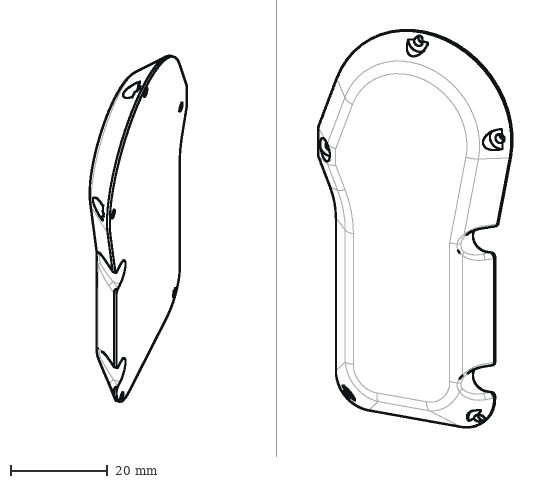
import cadquery as cq
import math

HEIGHT = 7.0
RIM_THICKNESS = 0.6
WALL_ANGLE = 41.6
TOP_INSET = (HEIGHT - RIM_THICKNESS) * math.tan(math.radians(WALL_ANGLE))
TOP_FILLET = 3.2

HEAD_RADIUS = 20.6
BOTTOM_DISTANCE = 86.3 - HEAD_RADIUS
FOOT_RADIUS = 7.5
NECK_RADIUS = 17.3

HEAD_FLANK = (20.0, HEAD_RADIUS)
EAR_SIDE = (0.0, 23.65)
EAR_FLANK = (-22.9, 26.1)
BODY_SIDE = (0.0, 19.6)
BOTTOM_SIDE = (-90.0, BOTTOM_DISTANCE)
NOTCHED_SIDE = (180.0, 16.65)
NOTCHED_FLANK = (190.7, HEAD_RADIUS)

NOTCH_RADIUS = 3.0
NOTCH_CENTER_Y = -14.6
NOTCH_CENTERS_Z = (-22.9, -53.9)
NOTCH_EDGE_FILLET = 0.95
TOLERANCE = 0.01

HOLE_RADIUS = 0.95
COUNTERBORE_RADIUS = 2.25
COUNTERBORE_FLOOR = 2.1
FOOT_HOLE_Z = -62.65
HOLE_CENTERS = [
    (0, 19.1),
    (-18.6, 0.7),
    (20.3, -7.7),
    (16.65, FOOT_HOLE_Z),
    (-13.7, FOOT_HOLE_Z),
]


def polar(radius, angle):
    """Point at the given radius and angle in degrees."""
    return (radius * math.cos(math.radians(angle)), radius * math.sin(math.radians(angle)))


def corner(side_a, side_b, inset):
    """Meeting point of two sides, both moved inward by inset."""
    ay, az = polar(1, side_a[0])
    by, bz = polar(1, side_b[0])
    da = side_a[1] - inset
    db = side_b[1] - inset
    det = ay * bz - az * by
    return ((da * bz - db * az) / det, (ay * db - by * da) / det)


def rounded_corner(side_a, side_b, inset, radius):
    """Start, middle and end of the arc that rounds a corner."""
    vertex = corner(side_a, side_b, inset)
    turn = (side_b[0] - side_a[0] + 180) % 360 - 180
    half_turn = math.radians(abs(turn)) / 2
    tangent = radius * math.tan(half_turn)
    sagitta = radius / math.cos(half_turn) - radius

    def shifted(distance, angle):
        dy, dz = polar(distance, angle)
        return (vertex[0] + dy, vertex[1] + dz)

    start = shifted(tangent, side_a[0] + 90)
    end = shifted(tangent, side_b[0] - 90)
    middle_normal = side_a[0] + turn / 2
    is_convex = turn < 0
    middle = shifted(sagitta, middle_normal + 180 if is_convex else middle_normal)
    return start, middle, end


def outline(inset, offset):
    """Closed cover outline, moved inward by inset, on the plane X = -offset."""
    head = HEAD_RADIUS - inset
    neck = rounded_corner(EAR_FLANK, BODY_SIDE, inset, NECK_RADIUS + inset)
    foot_a = rounded_corner(BODY_SIDE, BOTTOM_SIDE, inset, FOOT_RADIUS)
    foot_b = rounded_corner(BOTTOM_SIDE, NOTCHED_SIDE, inset, FOOT_RADIUS)
    path = (
        cq.Workplane("YZ", origin=(-offset, 0, 0))
        .moveTo(*polar(head, HEAD_FLANK[0]))
        .lineTo(*corner(HEAD_FLANK, EAR_SIDE, inset))
        .lineTo(*corner(EAR_SIDE, EAR_FLANK, inset))
    )
    for start, middle, end in (neck, foot_a, foot_b):
        path = path.lineTo(*start).threePointArc(middle, end)
    return (
        path.lineTo(*corner(NOTCHED_SIDE, NOTCHED_FLANK, inset))
        .lineTo(*polar(head, NOTCHED_FLANK[0]))
        .threePointArc(polar(head, (HEAD_FLANK[0] + NOTCHED_FLANK[0]) / 2), polar(head, HEAD_FLANK[0]))
        .close()
    )


def cover_body():
    """Thin straight rim topped by sloping walls and a rounded flat face."""
    rim = outline(0, 0).extrude(-RIM_THICKNESS)
    walls = cq.Solid.makeLoft(
        [outline(0, RIM_THICKNESS).val(), outline(TOP_INSET, HEIGHT).val()], True
    )
    walls = cq.Workplane(walls).faces("<X").edges().fillet(TOP_FILLET)
    return rim.union(walls)


def notch(center_z):
    """Slot through the full height, open toward -Y, with a round inner end."""
    round_end = cq.Workplane("YZ").center(NOTCH_CENTER_Y, center_z).circle(NOTCH_RADIUS).extrude(-HEIGHT)
    opening = (
        cq.Workplane("YZ")
        .center(NOTCH_CENTER_Y - HEAD_RADIUS / 2, center_z)
        .rect(HEAD_RADIUS, 2 * NOTCH_RADIUS)
        .extrude(-HEIGHT)
    )
    return round_end.union(opening)


def rounded_notch(body, center_z):
    """Cut one notch and round its mouth, leaving the base plane edge sharp."""
    cut_body = body.cut(notch(center_z))

    def on_notch_wall(point):
        across = math.hypot(max(point.y - NOTCH_CENTER_Y, 0), point.z - center_z)
        return abs(across - NOTCH_RADIUS) < TOLERANCE

    def is_mouth_edge(edge):
        points = [edge.positionAt(t) for t in (0, 0.3, 0.7, 1)]
        on_base = all(point.x > -TOLERANCE for point in points)
        on_seam = all(abs(point.y - NOTCH_CENTER_Y) < TOLERANCE for point in points)
        return all(map(on_notch_wall, points)) and not on_base and not on_seam

    mouth_edges = [edge for edge in cut_body.edges().vals() if is_mouth_edge(edge)]
    return cut_body.newObject(mouth_edges).fillet(NOTCH_EDGE_FILLET)


def screw_holes():
    """Through holes with counterbores that break out of the sloping walls."""
    holes = cq.Workplane("YZ").pushPoints(HOLE_CENTERS).circle(HOLE_RADIUS).extrude(-HEIGHT)
    bores = (
        cq.Workplane("YZ", origin=(-COUNTERBORE_FLOOR, 0, 0))
        .pushPoints(HOLE_CENTERS)
        .circle(COUNTERBORE_RADIUS)
        .extrude(COUNTERBORE_FLOOR - HEIGHT)
    )
    return holes.union(bores)


result = cover_body()
for notch_z in NOTCH_CENTERS_Z:
    result = rounded_notch(result, notch_z)
result = result.cut(screw_holes())